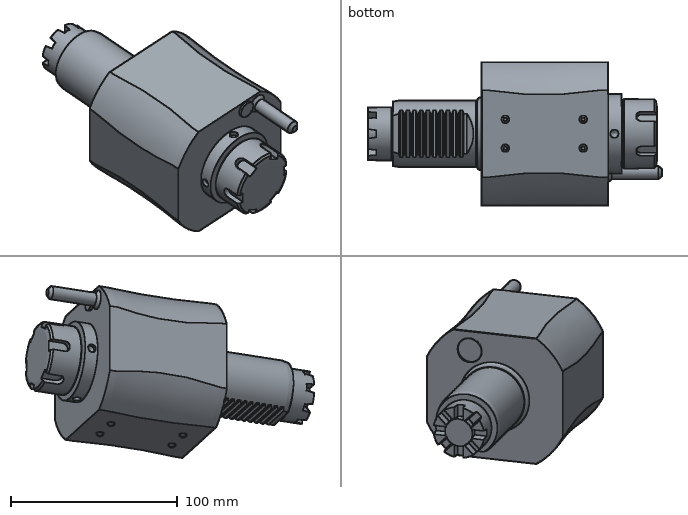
import cadquery as cq


overall_length = 176.3
overcut = 1.8

housing_length = 76.0
housing_width = 86.0
housing_height = 80.0
edge_chamfer = 0.4
corner_radius = 47.8
waist_radius = 46.4
waist_start = 3.7
waist_end = 71.0

collar_length = 2.6
collar_radius = 21.9
collar_round = 2.1
relief_width = 0.7
relief_radius = 19.5
shank_end = -53.0
shank_diameter = 40.0
shank_radius = shank_diameter / 2
shank_lead = 3.4
shank_lead_radius = 19.4

flat_height = -16.0
flat_end = -8.8
rack_count = 10
rack_first = -48.1
rack_last = -12.2
rack_pitch = (rack_last - rack_first) / (rack_count - 1)
rack_depth = 1.8
rack_floor_width = 1.4
rack_mouth_width = 3.2

rear_neck_radius = 13.0
rear_nut_end = -68.0
rear_nut_front = -54.0
rear_nut_radius = 16.0
rear_hub_radius = 8.6
rear_slot_count = 8
rear_slot_depth = 5.0
rear_slot_mouth = 5.6
rear_slot_floor = 4.2

flange_length = 8.1
flange_end = housing_length + flange_length
flange_radius = 24.0
flange_hole_count = 4
flange_hole_radius = 2.5
flange_hole_depth = 2.6
flange_hole_x = 79.7
flange_hole_point = 1.4
front_neck_radius = 16.5
front_nut_start = 85.0
front_nut_end = 104.7
front_nut_radius = 21.0
front_nut_chamfer = 1.2
front_nut_rear_chamfer = 0.5
front_nut_tip_radius = 16.2
front_nut_tip_length = 0.5
front_slot_count = 6
front_slot_width = 6.5
front_slot_start = 92.8
front_slot_floor = 17.3

pin_y = 23.3
pin_z = 32.1
pin_radius = 4.0
pin_tip_radius = 2.1
pin_tip_length = 2.1
pin_end = rear_nut_end + overall_length
pin_foot_radius = 5.8
pin_foot_length = 2.1

screw_y = 13.2
screw_z = 34.2
screw_radius = 5.1
screw_height = 1.5

recess_y = 16.0
recess_z = 27.7
recess_radius = 7.5
recess_depth = 1.0

stud_positions_x = (14.3, 61.0)
stud_y = 8.6
stud_radius = 2.3
stud_height = 1.5
stud_chamfer = 1.2


def revolved(points):
    """Solid turned about the X axis from (x, radius) points."""
    start = points[0][0]
    end = points[-1][0]
    outline = [(start, 0)] + points + [(end, 0)]
    return cq.Workplane("XY").polyline(outline).close().revolve(360, (0, 0, 0), (1, 0, 0))


def rotated_copies(shape, count):
    """Union of equally spaced copies of a shape around the X axis."""
    copies = shape
    for index in range(1, count):
        copies = copies.union(shape.rotate((0, 0, 0), (1, 0, 0), index * 360 / count))
    return copies


def make_housing():
    block = cq.Workplane("XY").box(housing_length, housing_width, housing_height)
    block = block.edges("<X and |Y").chamfer(edge_chamfer)
    block = block.translate((housing_length / 2, 0, 0))
    barrel = (
        cq.Workplane("XY")
        .moveTo(0, 0)
        .lineTo(0, corner_radius)
        .lineTo(waist_start, corner_radius)
        .threePointArc(((waist_start + waist_end) / 2, waist_radius), (waist_end, corner_radius))
        .lineTo(housing_length, corner_radius)
        .lineTo(housing_length, 0)
        .close()
        .revolve(360, (0, 0, 0), (1, 0, 0))
    )
    recess = (
        cq.Workplane("YZ").center(recess_y, recess_z).circle(recess_radius).extrude(recess_depth)
    )
    return block.intersect(barrel).cut(recess)


def make_shank():
    relief_start = -collar_length - relief_width
    shank = revolved([
        (shank_end, shank_lead_radius),
        (shank_end + shank_lead, shank_radius),
        (relief_start, shank_radius),
        (relief_start, relief_radius),
        (-collar_length, relief_radius),
    ])
    collar = revolved([(-collar_length, collar_radius), (0, collar_radius)])
    collar = collar.faces("<X").edges().fillet(collar_round)
    run_out = shank_radius + flat_height
    flat = (
        cq.Workplane("XZ")
        .polyline([
            (shank_end, flat_height),
            (flat_end, flat_height),
            (flat_end + run_out, -shank_radius),
            (shank_end, -shank_radius),
        ])
        .close()
        .extrude(shank_radius, both=True)
    )
    tooth_gap = (
        cq.Workplane("XZ")
        .polyline([
            (-rack_mouth_width / 2, flat_height),
            (-rack_floor_width / 2, flat_height + rack_depth),
            (rack_floor_width / 2, flat_height + rack_depth),
            (rack_mouth_width / 2, flat_height),
        ])
        .close()
        .extrude(shank_radius, both=True)
    )
    shank = shank.cut(flat)
    for index in range(rack_count):
        shank = shank.cut(tooth_gap.translate((rack_first + index * rack_pitch, 0, 0)))
    return shank.union(collar)


def make_rear_nut():
    nut = revolved([
        (rear_nut_end, rear_nut_radius),
        (rear_nut_front, rear_nut_radius),
        (rear_nut_front, rear_neck_radius),
        (shank_end, rear_neck_radius),
    ])
    floor_x = rear_nut_end + rear_slot_depth
    slot = (
        cq.Workplane("XY")
        .polyline([
            (rear_nut_end, -rear_slot_mouth / 2),
            (floor_x, -rear_slot_floor / 2),
            (floor_x, rear_slot_floor / 2),
            (rear_nut_end, rear_slot_mouth / 2),
        ])
        .close()
        .extrude(rear_nut_radius + overcut)
    )
    hub = revolved([(rear_nut_end, rear_hub_radius), (floor_x, rear_hub_radius)])
    return nut.cut(rotated_copies(slot, rear_slot_count)).union(hub)


def make_flange():
    flange = revolved([(housing_length, flange_radius), (flange_end, flange_radius)])
    hole_floor = flange_radius - flange_hole_depth
    hole = (
        cq.Workplane("XZ")
        .polyline([
            (0, hole_floor - flange_hole_point),
            (flange_hole_radius, hole_floor),
            (flange_hole_radius, flange_radius + overcut),
            (0, flange_radius + overcut),
        ])
        .close()
        .revolve(360, (0, 0, 0), (0, 1, 0))
        .translate((flange_hole_x, 0, 0))
    )
    return flange.cut(rotated_copies(hole, flange_hole_count))


def make_front_nut():
    nut = revolved([
        (flange_end, front_neck_radius),
        (front_nut_start, front_neck_radius),
        (front_nut_start, front_nut_radius - front_nut_rear_chamfer),
        (front_nut_start + front_nut_rear_chamfer, front_nut_radius),
        (front_nut_end - front_nut_chamfer, front_nut_radius),
        (front_nut_end, front_nut_radius - front_nut_chamfer),
        (front_nut_end + front_nut_tip_length, front_nut_tip_radius),
    ])
    half_width = front_slot_width / 2
    slot_exit = front_nut_end + front_nut_tip_length
    slot = (
        cq.Workplane("XZ", origin=(0, -front_slot_floor, 0))
        .moveTo(slot_exit, -half_width)
        .lineTo(front_slot_start + half_width, -half_width)
        .threePointArc((front_slot_start, 0), (front_slot_start + half_width, half_width))
        .lineTo(slot_exit, half_width)
        .close()
        .extrude(front_nut_radius)
    )
    return nut.cut(rotated_copies(slot, front_slot_count))


def make_pin():
    return revolved([
        (housing_length, pin_foot_radius),
        (housing_length + pin_foot_length, pin_radius),
        (pin_end - pin_tip_length, pin_radius),
        (pin_end, pin_tip_radius),
    ]).translate((0, pin_y, pin_z))


def make_screw_head():
    return (
        cq.Workplane("YZ", origin=(housing_length, screw_y, screw_z))
        .circle(screw_radius)
        .extrude(screw_height)
    )


def make_studs():
    return (
        cq.Workplane("XY", origin=(0, 0, -housing_height / 2 - stud_height))
        .pushPoints([(x, y) for x in stud_positions_x for y in (-stud_y, stud_y)])
        .circle(stud_radius)
        .extrude(2 * stud_height)
        .faces("<Z")
        .chamfer(stud_chamfer)
    )


result = (
    make_housing()
    .union(make_shank())
    .union(make_rear_nut())
    .union(make_flange())
    .union(make_front_nut())
    .union(make_pin())
    .union(make_screw_head())
    .union(make_studs())
)